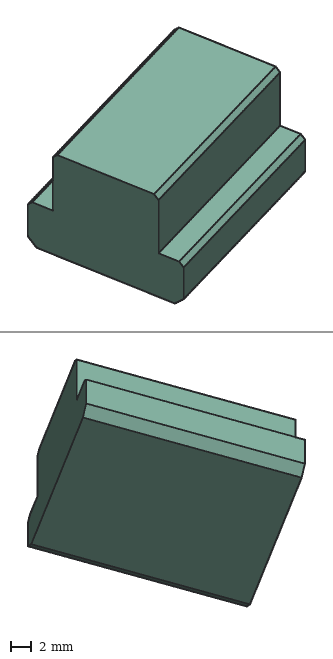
import cadquery as cq

length = 22.0
base_width = 17.5
total_height = 12.7

base_height = 5.5
stem_width = 11.85
top_chamfer = 0.5
bottom_chamfer = 1.0


def centred_bar(width, bottom, top):
    """Rectangular bar along Y, centred in X and Y, between two heights."""
    height = top - bottom
    return (
        cq.Workplane("XY")
        .box(width, length, height, centered=(True, True, False))
        .translate((0, 0, bottom))
    )


base = centred_bar(base_width, 0, base_height)
base = base.faces(">Z").edges("|Y").chamfer(top_chamfer)
base = base.faces("<Z").edges("|Y").chamfer(bottom_chamfer)

stem = centred_bar(stem_width, base_height, total_height)
stem = stem.faces(">Z").edges("|Y").chamfer(top_chamfer)

result = base.union(stem)